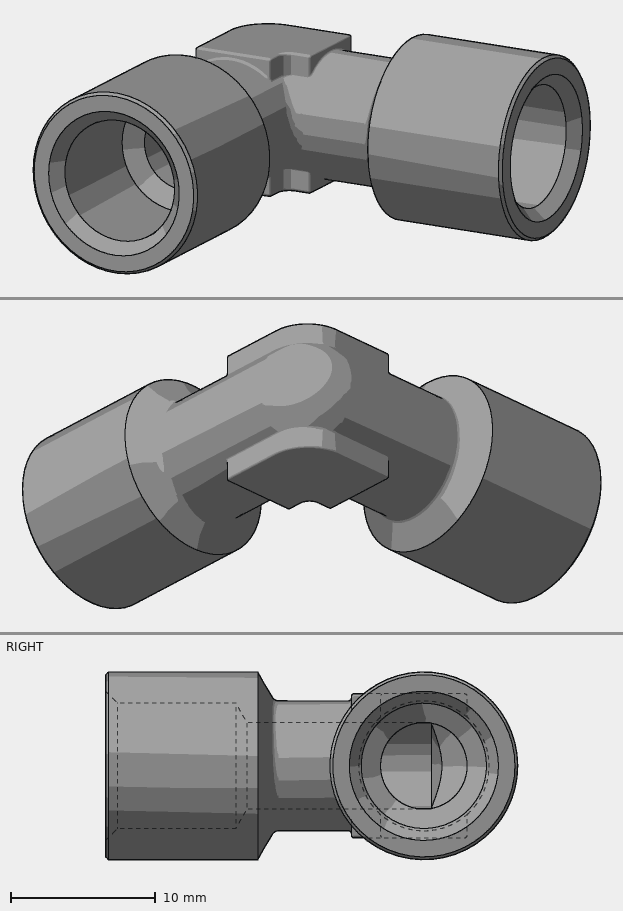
import cadquery as cq
import math

arm_length = 22.0

socket_radius = 6.5
socket_start = 11.49
tube_radius = 4.5
shoulder_angle = 30
shoulder_blend = 0.5
rim_chamfer = 0.2
inner_corner_blend = 0.8

thread_radius = 4.33
thread_mouth_radius = 5.15
thread_depth = 9.0
bore_radius = 3.0
bore_overrun = 0.5
drill_tip_half_angle = 67
thread_bottom_half_angle = 60

pad_half_width = 3.0
pad_reach = 5.02
pad_height = 5.0
pad_notch_radius = 0.8
pad_edge_round = 0.2
pad_base_blend = 0.2


def tan_degrees(angle):
    return math.tan(math.radians(angle))


def both_arms(x_arm):
    """Join an arm along +X with its copy turned to -Y."""
    y_arm = x_arm.mirror("YZ").rotate((0, 0, 0), (0, 0, 1), 90)
    return x_arm.union(y_arm)


def turned(profile):
    """Revolve a half profile lying in the XY plane about the X axis."""
    return profile.close().revolve(360, (0, 0, 0), (1, 0, 0))


def elbow_body():
    tube = cq.Workplane("YZ").circle(tube_radius).extrude(socket_start)
    elbow = both_arms(tube).union(cq.Workplane("XY").sphere(tube_radius))
    return elbow.edges("%ELLIPSE").fillet(inner_corner_blend)


def sockets():
    shoulder_length = (socket_radius - tube_radius) * tan_degrees(shoulder_angle)
    shoulder_start = socket_start - shoulder_length
    turn = math.radians(90 - shoulder_angle)
    blend_start = shoulder_start - shoulder_blend * math.tan(turn / 2)

    def blend_point(angle):
        return (
            blend_start + shoulder_blend * math.sin(angle),
            tube_radius + shoulder_blend * (1 - math.cos(angle)),
        )

    profile = (
        cq.Workplane("XY")
        .moveTo(blend_start, 0)
        .lineTo(blend_start, tube_radius)
        .threePointArc(blend_point(turn / 2), blend_point(turn))
        .lineTo(socket_start, socket_radius)
        .lineTo(arm_length - rim_chamfer, socket_radius)
        .lineTo(arm_length, socket_radius - rim_chamfer)
        .lineTo(arm_length, 0)
    )
    return both_arms(turned(profile))


def bores():
    mouth_depth = thread_mouth_radius - thread_radius
    thread_end = arm_length - thread_depth
    bore_start = thread_end - (thread_radius - bore_radius) / tan_degrees(thread_bottom_half_angle)
    tip = -bore_overrun - bore_radius / tan_degrees(drill_tip_half_angle)
    profile = (
        cq.Workplane("XY")
        .moveTo(tip, 0)
        .lineTo(-bore_overrun, bore_radius)
        .lineTo(bore_start, bore_radius)
        .lineTo(thread_end, thread_radius)
        .lineTo(arm_length - mouth_depth, thread_radius)
        .lineTo(arm_length, thread_mouth_radius)
        .lineTo(arm_length, 0)
    )
    return both_arms(turned(profile))


def pads():
    """One block through the elbow, whose two ends stand out as the pads."""
    arc_middle = pad_half_width * math.sqrt(0.5)
    pad = (
        cq.Workplane("XY")
        .moveTo(-pad_half_width, 0)
        .threePointArc((-arc_middle, arc_middle), (0, pad_half_width))
        .lineTo(pad_reach, pad_half_width)
        .lineTo(pad_reach, -pad_half_width)
        .lineTo(pad_half_width, -pad_half_width)
        .lineTo(pad_half_width, -pad_reach)
        .lineTo(-pad_half_width, -pad_reach)
        .close()
        .extrude(2 * pad_height)
        .translate((0, 0, -pad_height))
    )
    notch = cq.selectors.NearestToPointSelector((pad_half_width, -pad_half_width, 0))
    pad = pad.edges("|Z").edges(notch).fillet(pad_notch_radius)
    right_end = pad.faces(">X").edges("|Z")
    near_end = pad.faces("<Y").edges("|Z")
    pad = right_end.add(near_end).fillet(pad_edge_round)
    return pad.faces("|Z").edges().fillet(pad_edge_round)


def pad_base_edges(side):
    """Select where a pad meets the tubes: side is 1 for the upper pad, -1 for the lower."""
    low, high = sorted((side * pad_half_width, side * (tube_radius + pad_base_blend)))
    return cq.selectors.BoxSelector(
        (-socket_start, -socket_start, low),
        (socket_start, socket_start, high),
        boundingbox=True,
    )


body = elbow_body().union(pads())
body = body.edges(pad_base_edges(1) + pad_base_edges(-1)).fillet(pad_base_blend)
result = body.union(sockets()).cut(bores())